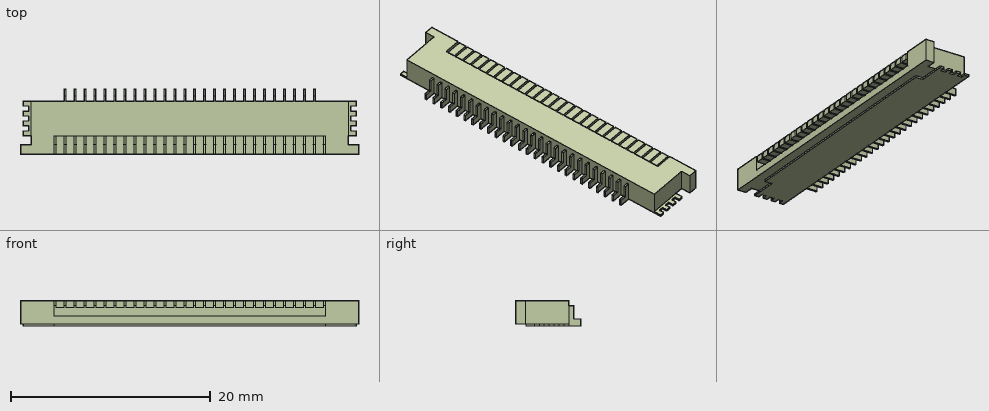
import cadquery as cq

total_length = 33.92
total_depth = 6.54
total_height = 2.56

front_y = -total_depth / 2
back_y = total_depth / 2
standoff = 0.2
housing_length = 31.8
housing_depth = 5.34
housing_back_y = front_y + housing_depth
ear_depth = 0.98
rear_block_depth = 3.47
rear_block_front_y = housing_back_y - rear_block_depth

contact_count = 26
pitch = 1.0
gap_width = 0.2
tooth_count = contact_count + 1
recess_depth = 0.06
tooth_top_z = total_height - recess_depth
tooth_bottom_z = 1.84
slot_length = tooth_count * pitch + gap_width
slot_floor_z = 1.0
slot_depth = 1.02
groove_floor_z = 2.05

tail_width = gap_width
tail_height = 0.72
tail_riser_height = groove_floor_z
tail_foot_length = 0.7
tail_riser_y = back_y - tail_foot_length

plate_length = 33.4
finger_length = 0.54
finger_width = 0.5
finger_count = 4
finger_pitch = (rear_block_depth - finger_width) / (finger_count - 1)


def block(x_range, y_range, z_range):
    """Box spanning the given (low, high) ranges."""
    (x0, x1), (y0, y1), (z0, z1) = x_range, y_range, z_range
    return cq.Workplane("XY").box(x1 - x0, y1 - y0, z1 - z0, centered=False).translate((x0, y0, z0))


def centred(length, middle=0.0):
    """Range of the given length about a middle value."""
    return (middle - length / 2, middle + length / 2)


def positions(count):
    """X positions of a centred row at the contact pitch."""
    return [(i - (count - 1) / 2) * pitch for i in range(count)]


def make_housing():
    """Long body with an ear at each end of the front."""
    z_range = (standoff, total_height)
    housing = block(centred(housing_length), (front_y, housing_back_y), z_range)
    ears = block(centred(total_length), (front_y, front_y + ear_depth), z_range)
    return housing.union(ears)


def make_slot():
    """Everything removed for the cable slot, the recess above it and the gaps between teeth."""
    slot_y = (front_y, front_y + slot_depth)
    cutter = block(centred(slot_length), slot_y, (slot_floor_z, tooth_bottom_z))
    recess_y = (front_y, rear_block_front_y)
    cutter = cutter.union(block(centred(slot_length), recess_y, (tooth_top_z, total_height)))
    for x in positions(tooth_count + 1):
        gap_x = centred(gap_width, x)
        cutter = cutter.union(block(gap_x, slot_y, (slot_floor_z, total_height)))
        cutter = cutter.union(block(gap_x, recess_y, (groove_floor_z, total_height)))
    return cutter


def make_tail(x):
    """Contact tail stepping down behind the housing."""
    foot = block(centred(tail_width, x), (housing_back_y, back_y), (0, tail_height))
    riser = block(centred(tail_width, x), (housing_back_y, tail_riser_y), (0, tail_riser_height))
    return foot.union(riser)


def make_plate():
    """Plate under the housing with solder fingers along both ends."""
    z_range = (0, standoff)
    root_length = plate_length - 2 * finger_length
    plate = block(centred(root_length), (rear_block_front_y, housing_back_y), z_range)
    plate = plate.union(block(centred(slot_length), (front_y + slot_depth, housing_back_y), z_range))
    for i in range(finger_count):
        finger_y = rear_block_front_y + i * finger_pitch
        plate = plate.union(block(centred(plate_length), (finger_y, finger_y + finger_width), z_range))
    return plate


result = make_housing().cut(make_slot()).union(make_plate())
for tail_x in positions(contact_count):
    result = result.union(make_tail(tail_x))